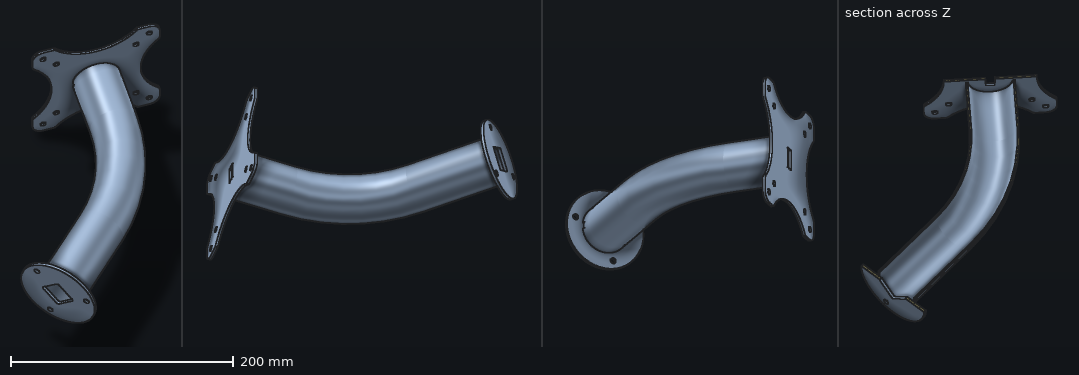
import cadquery as cq
import math

tube_diameter = 45.0
tube_bore = 41.0
bend_radius = 150.0
bend_angle = 45
total_length = 270.7
total_width = 163.0

flange_thickness = 3.0
flange_diameter = 75.0
flange_hole_circle = 60.0
flange_hole_start_angle = 15
flange_hole_count = 3
flange_window_side = 22.5
flange_window_corner = 2.0

plate_size = 120.0
plate_thickness = 2.5
plate_corner_radius = 10.0
scallop_half_width = 39.0
scallop_depth = 18.1
scallop_tip_radius = 5.1
plate_hole_spacings = (75.0, 100.0)
plate_slot_width = 8.5
plate_slot_height = 19.0

screw_hole_diameter = 5.1

notch_height = 6.0
notch_length = 3.0

bend = math.radians(bend_angle)
run_x, run_y = -math.sin(bend), math.cos(bend)
half_plate = plate_size / 2
plate_x = flange_diameter / 2 - total_width + half_plate * math.cos(bend)
plate_y = total_length - half_plate * math.sin(bend)
bend_end_x = -bend_radius * (1 - math.cos(bend))
end_run = (plate_x - bend_end_x) / run_x
bend_end_y = plate_y - end_run * run_y
bend_start_y = bend_end_y - bend_radius * math.sin(bend)
bend_middle_x = -bend_radius * (1 - math.cos(bend / 2))
bend_middle_y = bend_start_y + bend_radius * math.sin(bend / 2)

flange_plane = cq.Plane(origin=(0, 0, 0), xDir=(-1, 0, 0), normal=(0, 1, 0))
plate_plane = cq.Plane(origin=(plate_x, plate_y, 0), xDir=(-run_y, run_x, 0), normal=(-run_x, -run_y, 0))


def swept_round(diameter):
    path = (
        cq.Workplane("XY")
        .moveTo(0, 0)
        .lineTo(0, bend_start_y)
        .threePointArc((bend_middle_x, bend_middle_y), (bend_end_x, bend_end_y))
        .lineTo(plate_x, plate_y)
    )
    return cq.Workplane(flange_plane).circle(diameter / 2).sweep(path)


def make_flange():
    flange = cq.Workplane(flange_plane).circle(flange_diameter / 2).extrude(flange_thickness)
    holes = (
        cq.Workplane(flange_plane)
        .polarArray(flange_hole_circle / 2, 180 - flange_hole_start_angle, 360, flange_hole_count)
        .circle(screw_hole_diameter / 2)
        .extrude(flange_thickness)
    )
    window = (
        cq.Workplane(flange_plane)
        .transformed(rotate=(0, 0, 45))
        .rect(flange_window_side, flange_window_side)
        .extrude(flange_thickness)
        .edges("|Y")
        .fillet(flange_window_corner)
    )
    return flange.cut(holes).cut(window)


def make_plate():
    plate = (
        cq.Workplane("XY")
        .rect(plate_size, plate_size)
        .extrude(plate_thickness)
        .edges("|Z")
        .fillet(plate_corner_radius)
    )
    scallop = (
        cq.Workplane("XY")
        .moveTo(-scallop_half_width, half_plate)
        .threePointArc((0, half_plate - scallop_depth), (scallop_half_width, half_plate))
        .close()
        .extrude(plate_thickness)
    )
    for side in range(4):
        plate = plate.cut(scallop.rotate((0, 0, 0), (0, 0, 1), 90 * side))
    for side in (-1, 1):
        for end in (-1, 1):
            tip = (side * half_plate, end * scallop_half_width, plate_thickness / 2)
            plate = plate.edges(cq.NearestToPointSelector(tip)).fillet(scallop_tip_radius)
    for spacing in plate_hole_spacings:
        holes = (
            cq.Workplane("XY")
            .rarray(spacing, spacing, 2, 2)
            .circle(screw_hole_diameter / 2)
            .extrude(plate_thickness)
        )
        plate = plate.cut(holes)
    slot = cq.Workplane("XY").rect(plate_slot_width, plate_slot_height).extrude(plate_thickness)
    return cq.Workplane(plate.cut(slot).val().moved(cq.Location(plate_plane)))


def make_notch(plane, thickness):
    return (
        cq.Workplane(plane)
        .workplane(offset=thickness)
        .rect(tube_diameter, notch_height)
        .extrude(notch_length)
    )


tube = swept_round(tube_diameter).cut(swept_round(tube_bore))
tube_ends = ((flange_plane, flange_thickness), (plate_plane, plate_thickness))
for end_plane, thickness in tube_ends:
    end_sheet = cq.Workplane(end_plane).circle(tube_diameter).extrude(thickness)
    tube = tube.cut(end_sheet).cut(make_notch(end_plane, thickness))

result = tube.union(make_flange()).union(make_plate())